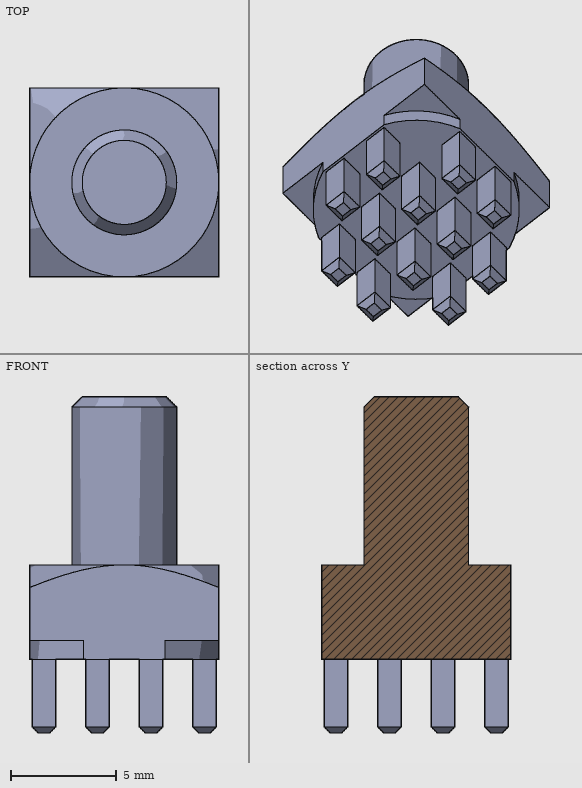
import cadquery as cq
import math

total_height = 16.0
shaft_length = 8.0
pin_length = 3.5
body_height = total_height - shaft_length - pin_length

body_side = 9.0
crown_angle = math.radians(30)
skirt_height = 0.9
skirt_radius = 4.9

shaft_diameter = 5.0
shaft_chamfer = 0.5

pin_width = 1.14
pin_pitch = 2.55
pins_per_row = 4
pin_tip_chamfer = 0.3


def make_crown_envelope():
    """Solid of revolution: a cone under the flat top, a straight cylinder below
    it that clears the body corners, and a narrower cylinder at the skirt."""
    top_radius = body_side / 2
    outer_radius = body_side
    cone_drop = (outer_radius - top_radius) * math.tan(crown_angle)
    return (
        cq.Workplane("XZ")
        .moveTo(0, 0)
        .lineTo(skirt_radius, 0)
        .lineTo(skirt_radius, skirt_height)
        .lineTo(outer_radius, skirt_height)
        .lineTo(outer_radius, body_height - cone_drop)
        .lineTo(top_radius, body_height)
        .lineTo(0, body_height)
        .close()
        .revolve(360, (0, 0), (0, 1))
    )


def make_body():
    """Square block with its top corners coned and its bottom corners rounded."""
    block = cq.Workplane("XY").rect(body_side, body_side).extrude(body_height)
    return block.intersect(make_crown_envelope())


def make_shaft():
    """Round shaft on top of the body, chamfered at its free end."""
    return (
        cq.Workplane("XY", origin=(0, 0, body_height))
        .circle(shaft_diameter / 2)
        .extrude(shaft_length)
        .faces(">Z")
        .chamfer(shaft_chamfer)
    )


def pin_positions():
    """Grid places centred on the axis, without the four corners."""
    last = pins_per_row - 1
    offset = last * pin_pitch / 2
    return [
        (column * pin_pitch - offset, row * pin_pitch - offset)
        for column in range(pins_per_row)
        for row in range(pins_per_row)
        if not (column in (0, last) and row in (0, last))
    ]


def make_pins():
    """Square pins below the body with chamfered tips."""
    return (
        cq.Workplane("XY")
        .pushPoints(pin_positions())
        .rect(pin_width, pin_width)
        .extrude(-pin_length)
        .faces("<Z")
        .chamfer(pin_tip_chamfer)
    )


result = make_body().union(make_shaft()).union(make_pins())